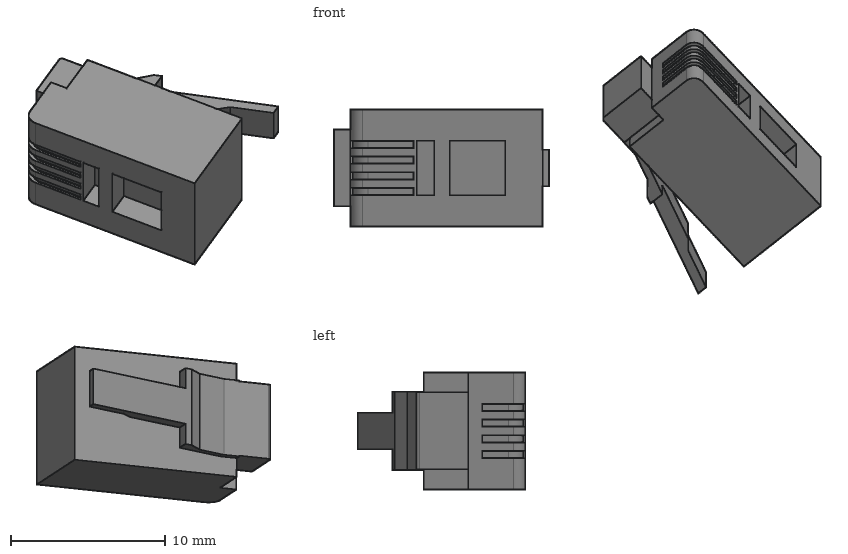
import cadquery as cq
import math


length = 13.97
body_height = 7.61
body_start = 1.08
body_end = 13.55
body_back = 6.61
corner_radius = 0.78

nose_end = 2.22
nose_front = 3.72
nose_height = 5.0
nose_radius = 0.21
root_thickness = 0.47
root_back = body_back + root_thickness

latch_angle = 17.0
latch_slope = math.tan(math.radians(latch_angle))
latch_tip_back = 10.88
latch_tip_thickness = 0.67
bend_outer_x = 3.32
bend_inner_x = 3.35
shoulder_low_x = 5.24
shoulder_high_x = 6.12
step_x = 6.62
relief_start_x = 10.56
relief_end_x = 11.25
wide_height = 5.1
narrow_height = 2.39

contact_count = 4
contact_pitch = 1.02
contact_recess = 0.14
contact_face_radius = 0.98
slot_height = 0.49
slot_end_x = 5.18
slot_end_y = 2.8
contact_gap = 0.03
gap_depth = 0.07

pocket_height = 3.55
pocket_depth = 1.6
pocket_spans = [(5.39, 6.52), (7.53, 11.1)]


def box(x_range, y_range, height):
    """Box with the given X and Y ranges, centred on Z = 0."""
    size_x = x_range[1] - x_range[0]
    size_y = y_range[1] - y_range[0]
    return (
        cq.Workplane("XY")
        .box(size_x, size_y, height, centered=(False, False, True))
        .translate((x_range[0], y_range[0], 0))
    )


def housing():
    """Plug body with a rounded front corner and a step cut back behind the nose."""
    body = box((body_start, body_end), (0, body_back), body_height)
    body = body.edges("|Z and <X and <Y").fillet(corner_radius)
    return body.cut(box((body_start, nose_end), (nose_front, body_back), body_height))


def nose():
    """Block ahead of the housing, rounded at its leading back edge."""
    block = box((0, nose_end), (nose_front, root_back), nose_height)
    return block.edges("|Z and <X and >Y").fillet(nose_radius)


def sloped(start_x, start_y, x):
    """Point at x on the latch-angle line through the start point."""
    return (x, start_y + (x - start_x) * latch_slope)


def latch():
    """Slanted arm, wide at the root and narrow from the step to the tip."""
    profile = (
        cq.Workplane("XY")
        .moveTo(nose_end, body_back)
        .lineTo(bend_inner_x, body_back)
        .lineTo(*sloped(bend_inner_x, body_back, relief_start_x))
        .lineTo(*sloped(length, latch_tip_back - latch_tip_thickness, relief_end_x))
        .lineTo(length, latch_tip_back - latch_tip_thickness)
        .lineTo(length, latch_tip_back)
        .lineTo(*sloped(length, latch_tip_back, shoulder_high_x))
        .lineTo(*sloped(bend_outer_x, root_back, shoulder_low_x))
        .lineTo(bend_outer_x, root_back)
        .lineTo(nose_end, root_back)
        .close()
    )
    arm = profile.extrude(wide_height / 2, both=True)
    outline_limits = box((nose_end, step_x), (body_back, latch_tip_back), wide_height).union(
        box((step_x, length), (body_back, latch_tip_back), narrow_height)
    )
    return arm.intersect(outline_limits)


def recess(depth, height, end_x):
    """L-shaped recess sunk by the given depth along the front and nose sides of the corner."""
    core = box((body_start + depth, body_end), (depth, body_back), height)
    core = core.edges("|Z and <X and <Y").fillet(contact_face_radius)
    return box((body_start, end_x), (0, slot_end_y), height).cut(core)


def contact_slots():
    """Slots with a narrow gap above, below and beyond the far end of each contact."""
    slot = recess(contact_recess + gap_depth, slot_height, slot_end_x)
    contact_height = slot_height - 2 * contact_gap
    contact_end_x = slot_end_x - contact_gap
    contact = recess(contact_recess + gap_depth, contact_height, contact_end_x).cut(
        recess(contact_recess, contact_height, contact_end_x)
    )
    open_slot = slot.cut(contact)
    slots = cq.Workplane("XY")
    for index in range(contact_count):
        z = (index - (contact_count - 1) / 2) * contact_pitch
        slots = slots.add(open_slot.translate((0, 0, z)))
    return slots.combine()


result = housing().union(nose()).union(latch()).cut(contact_slots())
for span in pocket_spans:
    result = result.cut(box(span, (0, pocket_depth), pocket_height))